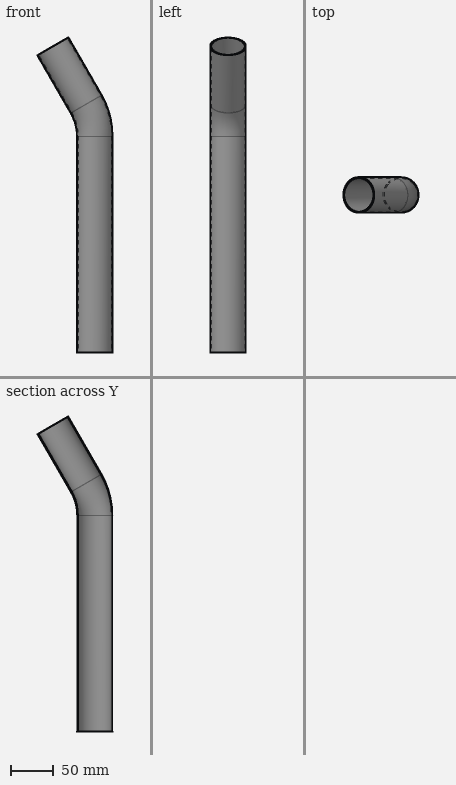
import cadquery as cq
import math

outer_diameter = 42.0
wall = 1.5
overall_height = 369.5
lower_length = 253.5
bend_radius = 76.0
bend_angle = 30.0

angle = math.radians(bend_angle)
outer_radius = outer_diameter / 2
bend_rise = bend_radius * math.sin(angle)
rim_rise = outer_radius * math.sin(angle)
upper_rise = overall_height - lower_length - bend_rise - rim_rise
upper_length = upper_rise / math.cos(angle)


def bent_rod(diameter):
    """Solid rod along the tube centreline: vertical leg, elbow, leaning leg."""
    lower_leg = cq.Workplane("XY").circle(diameter / 2).extrude(lower_length)
    elbow = (
        cq.Workplane("XY", origin=(0, 0, lower_length))
        .circle(diameter / 2)
        .revolve(bend_angle, (-bend_radius, 0, 0), (-bend_radius, -1, 0))
    )
    elbow_end = cq.Plane(
        origin=(-bend_radius * (1 - math.cos(angle)), 0, lower_length + bend_rise),
        xDir=(math.cos(angle), 0, math.sin(angle)),
        normal=(-math.sin(angle), 0, math.cos(angle)),
    )
    upper_leg = cq.Workplane(elbow_end).circle(diameter / 2).extrude(upper_length)
    return lower_leg.union(elbow).union(upper_leg)


bore_diameter = outer_diameter - 2 * wall
result = bent_rod(outer_diameter).cut(bent_rod(bore_diameter))